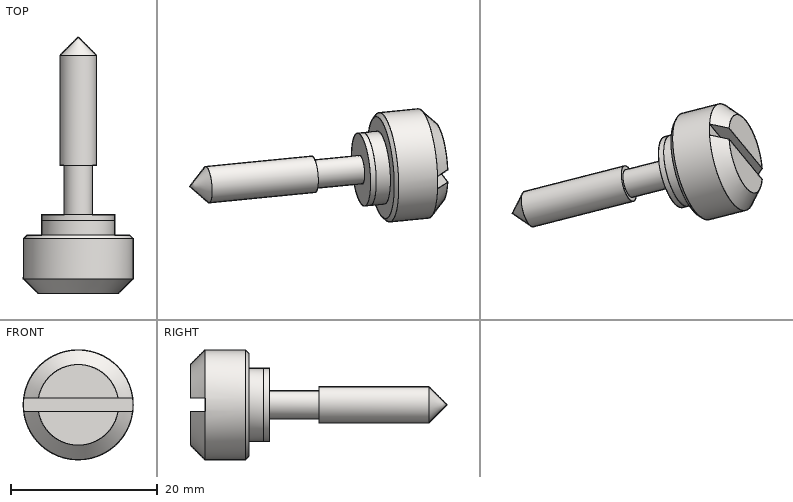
import cadquery as cq


head_diameter = 15.0
head_length = 8.0
front_bevel = 2.0
rear_chamfer = 0.5
slot_width = 1.8
slot_depth = front_bevel

collar_diameter = 10.0
collar_length = 2.0
washer_thickness = 0.8
shank_diameter = 3.9

thread_diameter = 5.0
thread_start = 17.5
overall_length = 35.0
point_length = thread_diameter / 2

collar_end = head_length + collar_length
point_start = overall_length - point_length


def cylinder(diameter, start, end):
    """Cylinder about the Y axis between two places along Y."""
    return (
        cq.Workplane("XZ", origin=(0, start, 0))
        .circle(diameter / 2)
        .extrude(start - end)
    )


def make_head():
    """Round head with a front bevel, a rear chamfer and a screwdriver slot."""
    head = cylinder(head_diameter, 0, head_length)
    head = head.faces("<Y").chamfer(front_bevel)
    head = head.faces(">Y").chamfer(rear_chamfer)
    slot = cq.Workplane("XY").box(
        head_diameter, slot_depth, slot_width, centered=(True, False, True)
    )
    return head.cut(slot)


def make_threaded_end():
    """Thread-sized cylinder tapering to a sharp point."""
    thread_radius = thread_diameter / 2
    half_profile = (
        cq.Workplane("XY")
        .moveTo(0, thread_start)
        .lineTo(thread_radius, thread_start)
        .lineTo(thread_radius, point_start)
        .lineTo(0, overall_length)
        .close()
    )
    return half_profile.revolve(360, (0, 0, 0), (0, 1, 0))


def make_screw():
    """Head, collar, necked shank and pointed threaded end as one solid."""
    collar = cylinder(collar_diameter, head_length, collar_end)
    shank = cylinder(shank_diameter, collar_end, thread_start)
    return make_head().union(collar).union(shank).union(make_threaded_end())


def make_washer():
    """Flat ring around the shank, resting on the collar."""
    washer_end = collar_end + washer_thickness
    blank = cylinder(collar_diameter, collar_end, washer_end)
    bore = cylinder(shank_diameter, collar_end, washer_end)
    return blank.cut(bore)


screw = make_screw()
washer = make_washer()

result = cq.Compound.makeCompound([screw.val(), washer.val()])